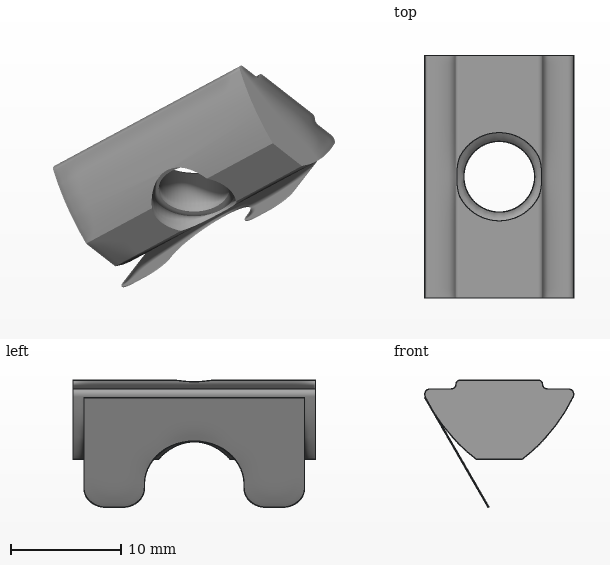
import cadquery as cq
import math

length = 22.0
total_height = 11.55
body_height = 7.2
boss_half_width = 3.94
step_depth = 0.8
step_radius = step_depth / 2
shoulder_edge_radius = 0.5
bottom_half_width = 2.07

shoulder_half_width = 7.05
flank_mid_x = 5.48
flank_mid_z = -3.63

hole_diameter = 6.4
countersink_diameter = 8.0
countersink_depth = (countersink_diameter - hole_diameter) / 2

lower_bore_diameter = 7.7
lower_bore_depth = 1.91

leaf_angle = math.radians(60)
leaf_thickness = 0.1
leaf_width = 20.02
leaf_top_z = -1.56
leaf_corner_radius = 2.0
arch_radius = 4.5
leaf_end_drop = leaf_thickness * math.cos(leaf_angle)
leaf_length = (total_height + leaf_top_z - leaf_end_drop) / math.sin(leaf_angle)
arch_center_distance = 9.06


def make_body():
    body = (
        cq.Workplane("XZ")
        .moveTo(-boss_half_width + step_radius, 0)
        .lineTo(boss_half_width - step_radius, 0)
        .tangentArcPoint((boss_half_width, -step_radius), relative=False)
        .tangentArcPoint((boss_half_width + step_radius, -step_depth), relative=False)
        .lineTo(shoulder_half_width, -step_depth)
        .threePointArc((flank_mid_x, flank_mid_z), (bottom_half_width, -body_height))
        .lineTo(-bottom_half_width, -body_height)
        .threePointArc((-flank_mid_x, flank_mid_z), (-shoulder_half_width, -step_depth))
        .lineTo(-boss_half_width - step_radius, -step_depth)
        .tangentArcPoint((-boss_half_width, -step_radius), relative=False)
        .tangentArcPoint((-boss_half_width + step_radius, 0), relative=False)
        .close()
        .extrude(length / 2, both=True)
    )
    for side in (-1, 1):
        shoulder_edge = (side * shoulder_half_width, 0, -step_depth)
        body = body.edges(cq.selectors.NearestToPointSelector(shoulder_edge)).fillet(shoulder_edge_radius)
    return body


def make_leaf():
    """Thin plate with an arched cutout; local X runs down the leaf and local Y along the part."""
    top_x = -(flank_mid_x + (leaf_top_z - flank_mid_z) / math.tan(leaf_angle))
    leaf_plane = cq.Plane(
        origin=(top_x, 0, leaf_top_z),
        xDir=(math.cos(leaf_angle), 0, -math.sin(leaf_angle)),
        normal=(-math.sin(leaf_angle), 0, -math.cos(leaf_angle)),
    )
    half_width = leaf_width / 2
    leaf = (
        cq.Workplane(leaf_plane)
        .moveTo(0, -half_width)
        .lineTo(leaf_length, -half_width)
        .lineTo(leaf_length, -arch_radius)
        .lineTo(arch_center_distance, -arch_radius)
        .threePointArc((arch_center_distance - arch_radius, 0), (arch_center_distance, arch_radius))
        .lineTo(leaf_length, arch_radius)
        .lineTo(leaf_length, half_width)
        .lineTo(0, half_width)
        .close()
        .extrude(leaf_thickness)
    )
    lower_corners = cq.Workplane(leaf_plane).pushPoints(
        [(leaf_length, y) for y in (-half_width, -arch_radius, arch_radius, half_width)]
    )
    for corner in lower_corners.vals():
        middle = corner + leaf_plane.zDir * (leaf_thickness / 2)
        leaf = leaf.edges(cq.selectors.NearestToPointSelector(middle.toTuple())).fillet(leaf_corner_radius)
    return leaf


def make_hole():
    hole = cq.Workplane("XY").circle(hole_diameter / 2).extrude(-body_height)
    countersink = cq.Solid.makeCone(
        countersink_diameter / 2, hole_diameter / 2, countersink_depth, dir=cq.Vector(0, 0, -1)
    )
    lower_bore = (
        cq.Workplane("XY", origin=(0, 0, -body_height))
        .circle(lower_bore_diameter / 2)
        .extrude(lower_bore_depth)
    )
    return hole.union(lower_bore).union(cq.Workplane(countersink))


result = make_body().cut(make_hole()).union(make_leaf())